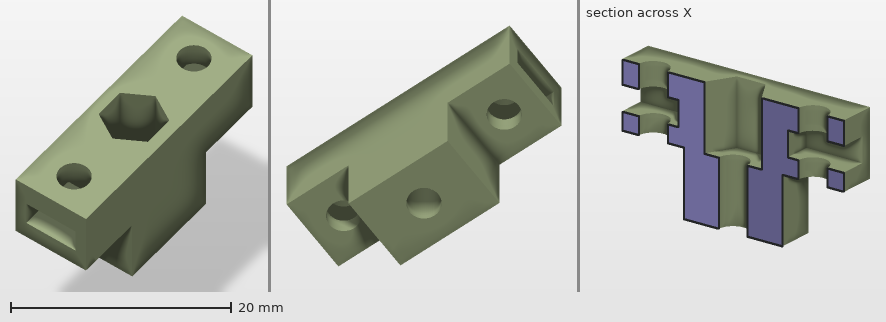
import cadquery as cq
import math

length = 25.0
width = 8.0
height = 14.0
bar_height = height / 2
stem_length = 11.1

hole_diameter = 3.2
end_hole_offset = 9.0

nut_across_flats = 5.6
hex_depth = bar_height
slot_height = 2.6
slot_top_gap = 2.5
slot_depth = length / 2 - end_hole_offset + nut_across_flats / 2

bar_bottom = height - bar_height


def t_block_half(side):
    """Half of the T outline, on the side of the joint given by the sign of Y."""
    return (
        cq.Workplane("YZ")
        .moveTo(0, 0)
        .lineTo(side * stem_length / 2, 0)
        .lineTo(side * stem_length / 2, bar_bottom)
        .lineTo(side * length / 2, bar_bottom)
        .lineTo(side * length / 2, height)
        .lineTo(0, height)
        .close()
        .extrude(width / 2, both=True)
    )


def bolt_hole(y):
    """Vertical cylinder through the full height."""
    return cq.Workplane("XY").center(0, y).circle(hole_diameter / 2).extrude(height)


def hex_pocket():
    """Hexagonal nut pocket sunk from the top, with its corners along Y."""
    across_corners = nut_across_flats / math.cos(math.radians(30))
    return (
        cq.Workplane("XY", origin=(0, 0, height - hex_depth))
        .transformed(rotate=(0, 0, 90))
        .polygon(6, across_corners)
        .extrude(hex_depth)
    )


def nut_slot(side):
    """Rectangular nut slot entering from the end face of one half."""
    return cq.Workplane("XY").box(nut_across_flats, slot_depth, slot_height).translate(
        (0, side * (length - slot_depth) / 2, height - slot_top_gap - slot_height / 2)
    )


def clamp_half(side):
    """One half of the clamp block with all of its holes and recesses."""
    return (
        t_block_half(side)
        .cut(bolt_hole(0))
        .cut(bolt_hole(side * end_hole_offset))
        .cut(hex_pocket())
        .cut(nut_slot(side))
    )


clamp_halves = [clamp_half(side) for side in (-1, 1)]

result = cq.Compound.makeCompound([half.val() for half in clamp_halves])